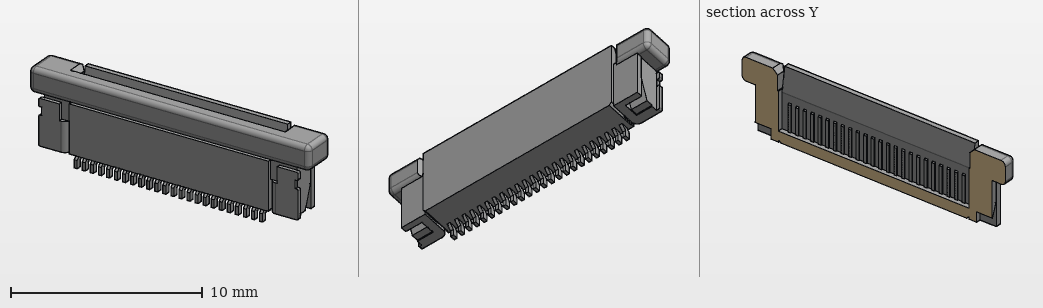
import cadquery as cq


bar_length = 17.43
total_height = 5.1
bar_bottom = 3.63
bar_front = 0.05
back = 2.05
bar_round = 0.3

body_bottom = 0.7
core_half_width = 6.3
core_front = 0.23
core_corner_chamfer = 0.15
front_plate_half_width = 6.19
end_half_width = 7.85
end_back = 1.88
arm_half_width = 7.88
end_overlap = 0.21

notch_back = 1.52
notch_low_front = 1.0
notch_top = 2.15
notch_depth = 1.05
notch_step_depth = 0.35
notch_step_top = 1.78
notch_step_slope = 0.1
foot_relief_front = 0.6
foot_relief = 0.09

slot_front = 1.22
slot_back = 1.52
slot_floor = 1.4
slot_half_width = 6.35
slot_chamfer = 0.31
tongue_top_front = 1.75

contact_count = 24
contact_row_length = 11.5
contact_pitch = contact_row_length / (contact_count - 1)
contact_width = 0.2
contact_rise = 0.07
contact_tip = 3.14
lead_thickness = 0.31
lead_bend = 0.49
lead_inner_drop = 0.09
lead_embed = 0.09

tab_outer = 8.05
tab_top = 3.49
tab_step_x = 6.76
tab_step_z = 2.51
tab_thickness = core_front
tab_bend_radius = 0.37
tab_bend_reach = 0.52
channel_back = 0.87
tab_notch_x = 7.88
tab_notch_top = 3.0
tab_notch_bottom = 2.51
tab_corner = 0.09


def box(x0, x1, y0, y1, z0, z1):
    """Box between two opposite corners."""
    return cq.Workplane("XY").box(x1 - x0, y1 - y0, z1 - z0, centered=False).translate((x0, y0, z0))


def yz_prism(points, x0, x1):
    """Outline in (Y, Z) extruded from x0 to x1."""
    return cq.Workplane("YZ").polyline(points).close().extrude(x1 - x0).translate((x0, 0, 0))


def xz_prism(points, y0, y1):
    """Outline in (X, Z) extruded from y0 to y1."""
    return cq.Workplane("XZ").polyline(points).close().extrude(y0 - y1).translate((0, y0, 0))


def make_bar():
    bar = box(-bar_length / 2, bar_length / 2, bar_front, back, bar_bottom, total_height)
    bar = bar.edges().fillet(bar_round)
    opening = box(-slot_half_width, slot_half_width, slot_front, back, bar_bottom, total_height)
    flare_half_width = slot_half_width + slot_chamfer
    flare_front = slot_front - slot_chamfer
    flare_back = back + 2 * slot_chamfer
    flare = (
        cq.Workplane("XY", origin=(0, (flare_front + flare_back) / 2, total_height))
        .rect(2 * flare_half_width, flare_back - flare_front)
        .extrude(-slot_chamfer, taper=45)
    )
    back_flare = (
        cq.Workplane("XY", origin=(0, 0, bar_bottom))
        .polyline([
            (-flare_half_width, back),
            (-slot_half_width, back - slot_chamfer),
            (slot_half_width, back - slot_chamfer),
            (flare_half_width, back),
        ])
        .close()
        .extrude(total_height - bar_bottom)
    )
    return bar.cut(opening).cut(flare).cut(back_flare)


def make_core():
    core = box(-core_half_width, core_half_width, core_front, back, body_bottom, bar_bottom)
    core = core.faces("<Z").edges("|Y").chamfer(core_corner_chamfer)
    front_plate = box(-front_plate_half_width, front_plate_half_width, bar_front, core_front,
                      body_bottom, bar_bottom)
    slot = box(-core_half_width, core_half_width, slot_front, slot_back, slot_floor, bar_bottom)
    core = core.union(front_plate).cut(slot)
    channel = box(-core_half_width, -front_plate_half_width, core_front, channel_back,
                  body_bottom, tab_step_z)
    return core.cut(channel).cut(channel.mirror("YZ"))


def make_tongue():
    """Back wall of the slot, thinning towards its top edge."""
    outline = [
        (back, bar_bottom),
        (back, total_height),
        (tongue_top_front, total_height),
        (slot_back, bar_bottom),
    ]
    return yz_prism(outline, -core_half_width, core_half_width)


def make_end_block():
    """Left end of the housing with its wedge-shaped notch and the back arm behind it."""
    block = box(-end_half_width, -core_half_width, core_front, end_back,
                body_bottom, bar_bottom + end_overlap)
    arm = box(-arm_half_width, -core_half_width, notch_back, end_back,
              body_bottom, bar_bottom + end_overlap)
    wedge = yz_prism(
        [(notch_back, body_bottom), (notch_back, notch_top), (notch_low_front, body_bottom)],
        -end_half_width, -end_half_width + notch_depth,
    )
    step_x = -end_half_width + notch_step_depth
    ceiling = [
        (-end_half_width, body_bottom),
        (-end_half_width, notch_top),
        (step_x, notch_top),
        (step_x, notch_step_top),
        (step_x + notch_step_slope, notch_step_top - notch_step_slope),
        (-end_half_width + notch_depth, notch_step_top - notch_step_slope),
        (-end_half_width + notch_depth, body_bottom),
    ]
    wedge = wedge.intersect(xz_prism(ceiling, notch_low_front, notch_back))
    relief = box(-end_half_width, -end_half_width + notch_depth, foot_relief_front, notch_back,
                 body_bottom, body_bottom + foot_relief)
    return block.cut(wedge).cut(relief).union(arm)


def make_tab():
    """Left solder tab: a stepped sheet whose inner edge bends back into the housing."""
    sheet_outline = [
        (-tab_outer, body_bottom),
        (-tab_outer, tab_notch_bottom),
        (-tab_notch_x, tab_notch_bottom),
        (-tab_notch_x, tab_notch_top),
        (-tab_outer, tab_notch_top),
        (-tab_outer, tab_top),
        (-tab_step_x, tab_top),
        (-tab_step_x, body_bottom),
    ]
    sheet = xz_prism(sheet_outline, 0, tab_thickness)
    sheet = sheet.edges("|Y and <X").fillet(tab_corner)
    bend = box(-tab_step_x, -core_half_width, 0, tab_bend_reach, body_bottom, tab_step_z)
    bend = bend.edges("|Z and >X and <Y").fillet(tab_bend_radius)
    return sheet.union(bend)


def make_contact(x):
    """Outside lead and the matching contact ridge on the slot's back wall."""
    lead_top = body_bottom + lead_embed
    lead_run = lead_top - lead_bend
    lead = yz_prism(
        [
            (0, 0),
            (0, lead_bend),
            (lead_run, lead_top),
            (lead_run + lead_thickness + lead_inner_drop, lead_top),
            (lead_thickness, lead_bend - lead_inner_drop),
            (lead_thickness, 0),
        ],
        x - contact_width / 2, x + contact_width / 2,
    )
    ridge = yz_prism(
        [
            (slot_back, slot_floor),
            (slot_back, contact_tip),
            (slot_back - contact_rise, contact_tip - contact_rise),
            (slot_back - contact_rise, slot_floor),
        ],
        x - contact_width / 2, x + contact_width / 2,
    )
    return lead, ridge


result = make_bar().union(make_core()).union(make_tongue())
for end_part in (make_end_block(), make_tab()):
    result = result.union(end_part).union(end_part.mirror("YZ"))
for index in range(contact_count):
    lead, ridge = make_contact(index * contact_pitch - contact_row_length / 2)
    result = result.union(lead).union(ridge)